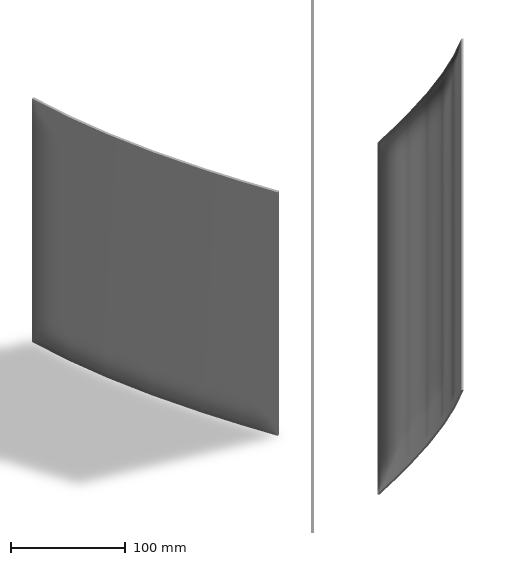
import cadquery as cq
import math

width = 239.18
depth = 18.25
height = 335.0
thickness = 2.0

left_slope = -0.098
right_slope = 0.16

left_rise = 3.02

left_x = -width / 2
right_x = width / 2
left_y = -depth / 2 + left_rise
right_y = depth / 2 - thickness * math.cos(math.atan(right_slope))


def plan_curve():
    """Cubic curve of the front face in plan, at the bottom of the panel."""
    bottom_z = -height / 2
    handle = width / 3
    return cq.Edge.makeBezier([
        cq.Vector(left_x, left_y, bottom_z),
        cq.Vector(left_x + handle, left_y + handle * left_slope, bottom_z),
        cq.Vector(right_x - handle, right_y - handle * right_slope, bottom_z),
        cq.Vector(right_x, right_y, bottom_z),
    ])


def front_face():
    """Front face: the plan curve swept straight up the panel height."""
    bottom_edge = plan_curve()
    top_edge = bottom_edge.translate(cq.Vector(0, 0, height))
    return cq.Face.makeRuledSurface(bottom_edge, top_edge)


panel = front_face().thicken(-thickness)
result = cq.Workplane(obj=panel)